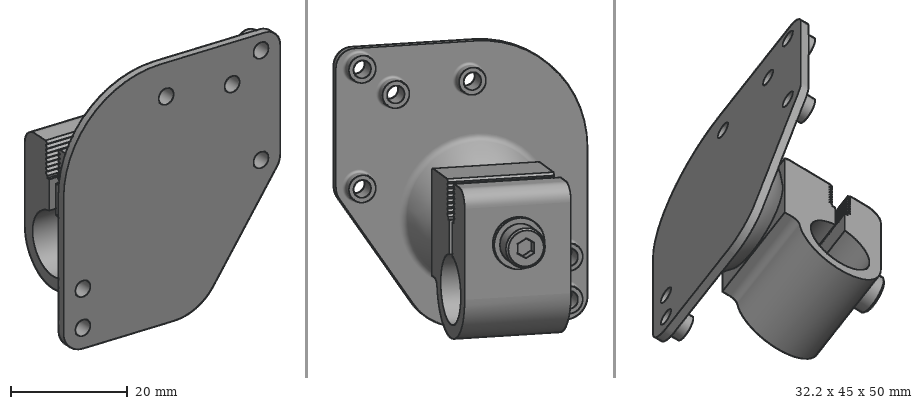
import cadquery as cq
import math


PLATE_THICKNESS = 1.6
PLATE_Y_MIN, PLATE_Y_MAX = -20.0, 25.0
PLATE_Z_MIN, PLATE_Z_MAX = -20.0, 30.0
LARGE_CORNER_RADIUS = 20.0
SMALL_CORNER_RADIUS = 4.0
TOP_CORNER_RADIUS = 3.25
BEVEL_CORNER_RADIUS = 10.0
BEVEL_Y = 8.1
BEVEL_Z = 4.6

HOLE_CENTRES = [
    (21, 26.8), (15, 22), (1.3, 23.5), (21, 5.8), (-16, -8.5), (-16, -16),
]
HOLE_DIAMETER = 3.1
COLLAR_DIAMETER = 4.8
COLLAR_TOP = 4.05
COLLAR_FILLET = 0.5

DOME_RADIUS = 13.6
DOME_CENTRE_DEPTH = 3.05
DOME_FILLET = 1.4

CLAMP_BACK_X = -7.25
CLAMP_WIDTH = 19.0
CLAMP_TOP_Z = 9.5
CLAMP_RADIUS = 8.5
BORE_RADIUS = 6.1
BORE_X = -18.75
BORE_Z = -9.5
CLAMP_FRONT_X = BORE_X - CLAMP_RADIUS
FRONT_EDGE_RADIUS = 3.0
BACK_EDGE_CHAMFER_X = 0.65
BACK_EDGE_CHAMFER_Z = 0.3
NECK_FILLET = 1.5
SLOT_WIDTH = 2.0

JAW_TIP_GAP = 3.2
TOOTH_DEPTH = 0.55
TOOTH_COUNT = 8
JAW_HEIGHT = 7.0
TOOTH_PITCH = JAW_HEIGHT / TOOTH_COUNT

SHANK_DIAMETER = 4.0
SHANK_ENGAGEMENT = 1.0
WASHER_DIAMETER = 9.0
WASHER_THICKNESS = 1.0
HEAD_DIAMETER = 7.0
HEAD_LENGTH = 4.0
HEAD_CHAMFER = 0.35
HEX_ACROSS_FLATS = 3.0
HEX_DEPTH = 2.0


def rod(diameter, x_start, x_end, y=0, z=0):
    """Cylinder along X between two X positions."""
    return (cq.Workplane("YZ", origin=(x_start, 0, 0)).center(y, z)
            .circle(diameter / 2).extrude(x_end - x_start))


def make_plate():
    outline = [
        (PLATE_Y_MIN, PLATE_Z_MIN),
        (BEVEL_Y, PLATE_Z_MIN),
        (PLATE_Y_MAX, BEVEL_Z),
        (PLATE_Y_MAX, PLATE_Z_MAX),
        (PLATE_Y_MIN, PLATE_Z_MAX),
    ]
    radii = [SMALL_CORNER_RADIUS, BEVEL_CORNER_RADIUS, SMALL_CORNER_RADIUS,
             TOP_CORNER_RADIUS, LARGE_CORNER_RADIUS]
    plate = cq.Workplane("YZ").polyline(outline).close().extrude(-PLATE_THICKNESS)
    for (y, z), radius in zip(outline, radii):
        corner = cq.selectors.NearestToPointSelector((-PLATE_THICKNESS / 2, y, z))
        plate = plate.edges("|X").edges(corner).fillet(radius)
    return plate


def make_collar(y, z):
    """Raised collar whose foot flares out into the plate."""
    radius = COLLAR_DIAMETER / 2
    foot_radius = radius + COLLAR_FILLET
    plate_face = -PLATE_THICKNESS
    profile = (cq.Workplane("XY")
               .moveTo(0, 0)
               .lineTo(0, foot_radius)
               .lineTo(plate_face, foot_radius)
               .radiusArc((plate_face - COLLAR_FILLET, radius), COLLAR_FILLET)
               .lineTo(-COLLAR_TOP, radius)
               .lineTo(-COLLAR_TOP, 0)
               .close())
    return profile.revolve(360, (0, 0), (1, 0)).translate((0, y, z))


def make_dome():
    """Ball segment with a fillet tangent to both the ball and the plate."""
    plate_face = -PLATE_THICKNESS
    fillet_rise = DOME_CENTRE_DEPTH + PLATE_THICKNESS + DOME_FILLET
    centre_distance = DOME_RADIUS + DOME_FILLET
    foot_radius = math.sqrt(centre_distance**2 - fillet_rise**2)
    ball_share = DOME_RADIUS / centre_distance
    tangent_x = DOME_CENTRE_DEPTH - fillet_rise * ball_share
    tangent_radius = foot_radius * ball_share
    profile = (cq.Workplane("XY")
               .moveTo(plate_face / 2, 0)
               .lineTo(plate_face / 2, foot_radius)
               .lineTo(plate_face, foot_radius)
               .radiusArc((tangent_x, tangent_radius), DOME_FILLET)
               .radiusArc((DOME_CENTRE_DEPTH - DOME_RADIUS, 0), -DOME_RADIUS)
               .close())
    return profile.revolve(360, (0, 0), (1, 0))


def make_jaw_gap():
    """Slot from the bore to the top, widened between the serrated jaws."""
    tip = JAW_TIP_GAP / 2
    root = tip + TOOTH_DEPTH
    half_side = []
    for tooth in range(TOOTH_COUNT):
        root_z = CLAMP_TOP_Z - tooth * TOOTH_PITCH
        half_side.append((root, root_z))
        half_side.append((tip, root_z - TOOTH_PITCH / 2))
    jaw_floor_z = CLAMP_TOP_Z - JAW_HEIGHT
    half_side += [(tip, jaw_floor_z), (SLOT_WIDTH / 2, jaw_floor_z), (SLOT_WIDTH / 2, BORE_Z)]
    right = [(BORE_X + offset, z) for offset, z in half_side]
    left = [(BORE_X - offset, z) for offset, z in reversed(half_side)]
    return (cq.Workplane("XZ").polyline(right + left).close()
            .extrude(CLAMP_WIDTH / 2, both=True))


def make_clamp():
    neck_x = BORE_X + math.sqrt((CLAMP_RADIUS + NECK_FILLET)**2 - NECK_FILLET**2)
    ring_share = CLAMP_RADIUS / (CLAMP_RADIUS + NECK_FILLET)
    neck_end = (BORE_X + (neck_x - BORE_X) * ring_share, BORE_Z - NECK_FILLET * ring_share)
    neck_start = (neck_x, BORE_Z)

    profile = (cq.Workplane("XZ")
               .moveTo(CLAMP_FRONT_X, BORE_Z)
               .lineTo(CLAMP_FRONT_X, CLAMP_TOP_Z - FRONT_EDGE_RADIUS)
               .radiusArc((CLAMP_FRONT_X + FRONT_EDGE_RADIUS, CLAMP_TOP_Z), FRONT_EDGE_RADIUS)
               .lineTo(CLAMP_BACK_X - BACK_EDGE_CHAMFER_X, CLAMP_TOP_Z)
               .lineTo(CLAMP_BACK_X, CLAMP_TOP_Z - BACK_EDGE_CHAMFER_Z)
               .lineTo(CLAMP_BACK_X, BORE_Z)
               .lineTo(*neck_start)
               .radiusArc(neck_end, -NECK_FILLET)
               .threePointArc((BORE_X, BORE_Z - CLAMP_RADIUS), (CLAMP_FRONT_X, BORE_Z))
               .close())
    clamp = profile.extrude(CLAMP_WIDTH / 2, both=True)
    bore = (cq.Workplane("XZ").center(BORE_X, BORE_Z).circle(BORE_RADIUS)
            .extrude(CLAMP_WIDTH / 2, both=True))
    return clamp.cut(bore).cut(make_jaw_gap())


def make_bolt():
    washer_x = CLAMP_FRONT_X - WASHER_THICKNESS
    head_x = washer_x - HEAD_LENGTH
    head = rod(HEAD_DIAMETER, washer_x, head_x).faces("<X").chamfer(HEAD_CHAMFER)
    washer = rod(WASHER_DIAMETER, CLAMP_FRONT_X, washer_x)
    shank_end_x = BORE_X + SLOT_WIDTH / 2 + SHANK_ENGAGEMENT
    shank = rod(SHANK_DIAMETER, washer_x, shank_end_x)
    hex_diameter = HEX_ACROSS_FLATS / math.cos(math.pi / 6)
    socket = (cq.Workplane("YZ", origin=(head_x, 0, 0)).transformed(rotate=(0, 0, 90))
              .polygon(6, hex_diameter).extrude(HEX_DEPTH))
    return head.union(washer).union(shank).cut(socket)


result = make_plate().union(make_dome()).union(make_clamp()).union(make_bolt())
for hole_y, hole_z in HOLE_CENTRES:
    result = result.union(make_collar(hole_y, hole_z))
for hole_y, hole_z in HOLE_CENTRES:
    result = result.cut(rod(HOLE_DIAMETER, 0, -COLLAR_TOP, hole_y, hole_z))